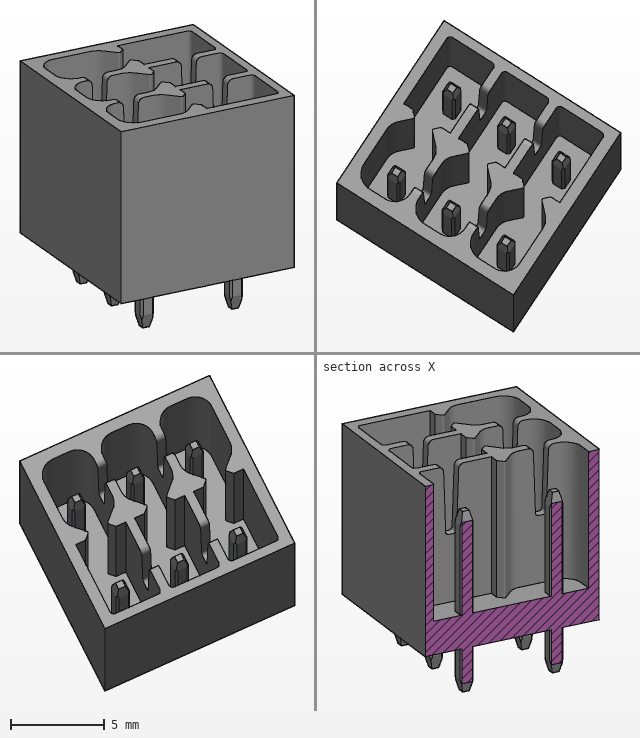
import cadquery as cq
import math

LENGTH_X = 11.3
WIDTH_Y = 10.6
TOTAL_HEIGHT = 12.6
PIN_PROJECTION = 2.6
BODY_HEIGHT = TOTAL_HEIGHT - PIN_PROJECTION
FLOOR_THICKNESS = 2.0

COLUMNS = 3
COLUMN_PITCH = 3.5
FRONT_ROW_Y = -2.71
BACK_ROW_Y = 2.75

POCKET_WIDTH = 2.97
POCKET_BACK_Y = 4.76
POCKET_FRONT_Y = -4.62
BACK_CORNER_RADIUS = 0.23
FRONT_CORNER_RADIUS = 1.0
RIB_STEP_Y = 0.3
RIB_STEP_X = 0.91
RIB_DEPTH = 0.35
RIB_TIP_RADIUS = 0.1

SLOT_DEPTH = 4.03
SLOT_FLOOR_WIDTH = 0.26
SLOT_TAPER_DEGREES = 2.0
SLOT_TOP_RADIUS = 0.33
SLOT_BOTTOM_RADIUS = 0.2

PIN_WIDTH = 0.81
PIN_EDGE_CHAMFER = 0.13
PIN_RECESS = 2.02
PIN_TOP_Z = BODY_HEIGHT - PIN_RECESS
PIN_TIP_LENGTH = 0.81
PIN_LOWER_TIP_WIDTH = 0.4
PIN_UPPER_TIP_WIDTH = 0.39

column_positions = [COLUMN_PITCH * (i - (COLUMNS - 1) / 2) for i in range(COLUMNS)]
row_positions = [FRONT_ROW_Y, BACK_ROW_Y]


def make_pocket(column_x):
    """Pocket with a square back half and a rounded front half, pinched by two pointed ribs."""
    half_width = POCKET_WIDTH / 2
    tip_x = RIB_STEP_X - RIB_DEPTH
    tip_y = RIB_STEP_Y - RIB_DEPTH
    shoulder_y = tip_y - (half_width - tip_x)
    right_side = [
        (half_width, POCKET_FRONT_Y),
        (half_width, shoulder_y),
        (tip_x, tip_y),
        (RIB_STEP_X, RIB_STEP_Y),
        (half_width, RIB_STEP_Y),
        (half_width, POCKET_BACK_Y),
    ]
    left_side = [(-x, y) for x, y in reversed(right_side)]
    pocket = (
        cq.Workplane("XY", origin=(column_x, 0, FLOOR_THICKNESS))
        .polyline(right_side + left_side)
        .close()
        .extrude(BODY_HEIGHT - FLOOR_THICKNESS)
    )

    def round_edges(solid, corner_y, half_spacing, radius):
        """Round the pair of upright edges at this Y, one on each side of the column axis."""
        for side in (-1, 1):
            corner = (column_x + side * half_spacing, corner_y, BODY_HEIGHT / 2)
            solid = solid.edges("|Z").edges(cq.selectors.NearestToPointSelector(corner)).fillet(radius)
        return solid

    pocket = round_edges(pocket, POCKET_BACK_Y, half_width, BACK_CORNER_RADIUS)
    pocket = round_edges(pocket, tip_y, tip_x, RIB_TIP_RADIUS)
    pocket = round_edges(pocket, shoulder_y, half_width, FRONT_CORNER_RADIUS)
    return round_edges(pocket, POCKET_FRONT_Y, half_width, FRONT_CORNER_RADIUS)


def make_slot(wall_x, row_y):
    """Tapered slot with a rounded floor, flaring into convex rounds at the wall top."""
    taper = math.radians(SLOT_TAPER_DEGREES)
    mid_angle = (math.pi / 2 - taper) / 2

    def arc_offset(radius, angle):
        """Outward and vertical distance from the level end of a corner arc."""
        return radius * math.sin(angle), radius * (1 - math.cos(angle))

    floor_y = SLOT_FLOOR_WIDTH / 2
    floor_z = BODY_HEIGHT - SLOT_DEPTH
    mid_out, mid_up = arc_offset(SLOT_BOTTOM_RADIUS, mid_angle)
    end_out, end_up = arc_offset(SLOT_BOTTOM_RADIUS, 2 * mid_angle)
    floor_mid = (floor_y + mid_out, floor_z + mid_up)
    floor_end = (floor_y + end_out, floor_z + end_up)

    top_mid_in, top_mid_down = arc_offset(SLOT_TOP_RADIUS, mid_angle)
    top_end_in, top_end_down = arc_offset(SLOT_TOP_RADIUS, 2 * mid_angle)
    side_top_z = BODY_HEIGHT - top_end_down
    side_top_y = floor_end[0] + (side_top_z - floor_end[1]) * math.tan(taper)
    rim_y = side_top_y + top_end_in
    rim_mid = (rim_y - top_mid_in, BODY_HEIGHT - top_mid_down)

    def mirrored(point):
        return (-point[0], point[1])

    wall_thickness = COLUMN_PITCH - POCKET_WIDTH
    return (
        cq.Workplane("YZ", origin=(wall_x - wall_thickness / 2, row_y, 0))
        .moveTo(-floor_y, floor_z)
        .lineTo(floor_y, floor_z)
        .threePointArc(floor_mid, floor_end)
        .lineTo(side_top_y, side_top_z)
        .threePointArc(rim_mid, (rim_y, BODY_HEIGHT))
        .lineTo(-rim_y, BODY_HEIGHT)
        .threePointArc(mirrored(rim_mid), (-side_top_y, side_top_z))
        .lineTo(*mirrored(floor_end))
        .threePointArc(mirrored(floor_mid), (-floor_y, floor_z))
        .close()
        .extrude(wall_thickness)
    )


def make_pin(column_x, row_y):
    """Square pin through the floor, tapered at both ends, with bevelled long edges."""

    def tip(start_z, end_z, end_width):
        return (
            cq.Workplane("XY", origin=(column_x, row_y, start_z))
            .rect(PIN_WIDTH, PIN_WIDTH)
            .workplane(offset=end_z - start_z)
            .rect(end_width, end_width)
            .loft(ruled=True)
        )

    lower_z = -PIN_PROJECTION + PIN_TIP_LENGTH
    upper_z = PIN_TOP_Z - PIN_TIP_LENGTH
    shank = cq.Workplane("XY", origin=(column_x, row_y, lower_z)).rect(PIN_WIDTH, PIN_WIDTH)
    shank = shank.extrude(upper_z - lower_z)
    square_pin = (
        shank.union(tip(lower_z, -PIN_PROJECTION, PIN_LOWER_TIP_WIDTH))
        .union(tip(upper_z, PIN_TOP_Z, PIN_UPPER_TIP_WIDTH))
    )
    bevelled_bar = (
        cq.Workplane("XY", origin=(column_x, row_y, -PIN_PROJECTION))
        .rect(PIN_WIDTH, PIN_WIDTH)
        .extrude(PIN_PROJECTION + PIN_TOP_Z)
        .edges("|Z")
        .chamfer(PIN_EDGE_CHAMFER)
    )
    return square_pin.intersect(bevelled_bar)


result = cq.Workplane("XY").box(LENGTH_X, WIDTH_Y, BODY_HEIGHT, centered=(True, True, False))

for column_x in column_positions:
    result = result.cut(make_pocket(column_x))

for column_x in column_positions[:-1]:
    for row_y in row_positions:
        result = result.cut(make_slot(column_x + COLUMN_PITCH / 2, row_y))

for column_x in column_positions:
    for row_y in row_positions:
        result = result.union(make_pin(column_x, row_y))